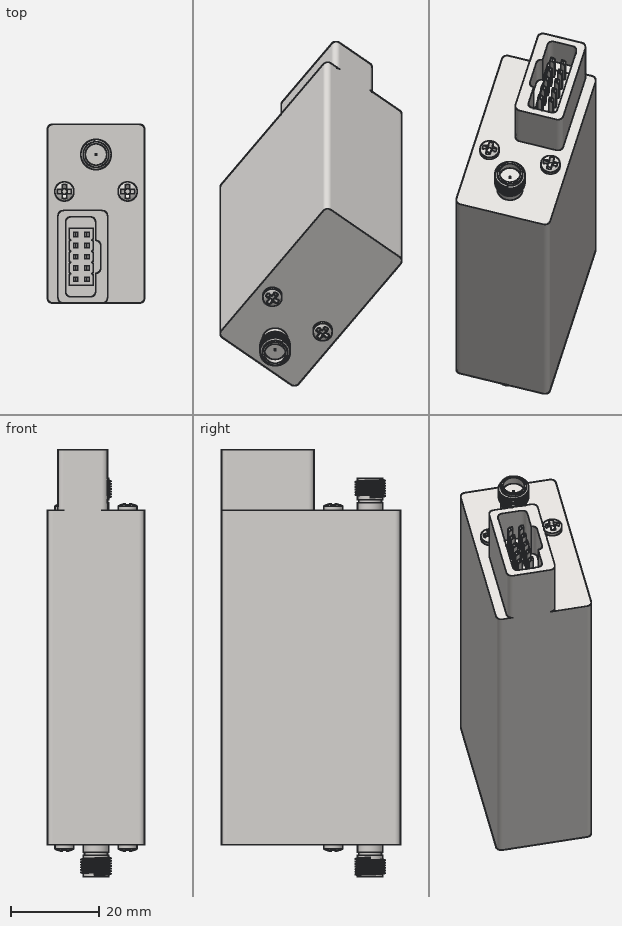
import cadquery as cq
import math


overall_height = 96.95
housing_width = 22.1
housing_depth = 40.6
corner_radius = 1.3

shroud_width = 11.2
shroud_depth = 21.0
shroud_height = 13.8
shroud_center_x = -3.0
shroud_center_y = (shroud_depth - housing_depth) / 2

cavity_width = 6.8
cavity_length = 18.1
cavity_depth = 9.0
cavity_radius = 1.2
cavity_center_x = -3.5
keyway_length = 7.5
keyway_reach = 1.2

pin_rows = 5
pin_columns = 2
pin_row_span = 10.2
pin_pitch = pin_row_span / (pin_rows - 1)
pin_size = 1.0
pin_bevel = pin_size / 2
pin_tip_recess = 1.2
header_width = 5.4
header_length = 12.9
header_height = 1.0
header_side_gap = 0.82
header_center_x = cavity_center_x - cavity_width / 2 + header_side_gap + header_width / 2
notch_size = 0.3

connector_back_inset = 6.9
connector_y = housing_depth / 2 - connector_back_inset
connector_length = 7.3
base_length = 1.7
neck_diameter = 5.2
neck_end = 2.3
barrel_diameter = 5.8
thread_diameter = 6.9
thread_pitch = 0.6
thread_half_width = 0.26
thread_start = 2.8
thread_end = 7.0
thread_root_overlap = 0.1
bore_diameter = 4.8
bore_depth = 1.9
contact_diameter = 0.4
contact_depth = 1.0

screw_x = 7.2
screw_y = 5.0
screw_diameter = 4.4
screw_rim_height = 0.9
screw_height = 1.55
recess_mouth_diameter = 4.1
recess_width = 1.0
recess_depth = 1.2
recess_floor_diameter = 1.3

housing_height = overall_height - shroud_height - connector_length
shroud_top = housing_height + shroud_height
cavity_floor = shroud_top - cavity_depth


def rounded_block(width, length, height, radius):
    """Upright block on Z = 0 with rounded vertical edges."""
    block = cq.Workplane("XY").box(width, length, height, centered=(True, True, False))
    return block.edges("|Z").fillet(radius)


def make_cavity():
    """Plug cavity with a keyway along the middle of its +X wall."""
    cavity = rounded_block(cavity_width, cavity_length, cavity_depth, cavity_radius)
    keyway_width = 2 * keyway_reach
    keyway = (
        cq.Workplane("XY")
        .box(keyway_width, keyway_length, cavity_depth, centered=(True, True, False))
        .edges("|Z and >X")
        .fillet(keyway_reach)
        .translate((cavity_width / 2, 0, 0))
    )
    return cavity.union(keyway).translate((cavity_center_x, shroud_center_y, cavity_floor))


def make_header():
    """Header block with V notches between the pin rows, on Z = 0."""
    block = cq.Workplane("XY").box(header_width, header_length, header_height, centered=(True, True, False))
    for gap in range(pin_rows - 1):
        notch_y = (gap - (pin_rows - 2) / 2) * pin_pitch
        for side in (-1, 1):
            edge_x = side * header_width / 2
            notch = (
                cq.Workplane("XY")
                .moveTo(edge_x, notch_y - notch_size)
                .lineTo(edge_x - side * notch_size, notch_y)
                .lineTo(edge_x, notch_y + notch_size)
                .close()
                .extrude(header_height)
            )
            block = block.cut(notch)
    return block


def make_pin():
    """Square pin on Z = 0 with its -X tip edge bevelled."""
    pin_length = cavity_depth - pin_tip_recess
    pin = cq.Workplane("XY").box(pin_size, pin_size, pin_length, centered=(True, True, False))
    return pin.edges(">Z and <X").chamfer(pin_bevel)


def make_housing():
    """Housing with its shroud, header block and pins in one piece."""
    case = rounded_block(housing_width, housing_depth, housing_height, corner_radius)
    shroud = rounded_block(shroud_width, shroud_depth, shroud_height, corner_radius)
    housing = case.union(shroud.translate((shroud_center_x, shroud_center_y, housing_height)))
    housing = housing.cut(make_cavity())

    header_origin = cq.Vector(header_center_x, shroud_center_y, cavity_floor)
    housing = housing.union(make_header().translate(header_origin))
    pin = make_pin()
    for column in range(pin_columns):
        for row in range(pin_rows):
            pin_x = (column - (pin_columns - 1) / 2) * pin_pitch
            pin_y = (row - (pin_rows - 1) / 2) * pin_pitch
            housing = housing.union(pin.translate(header_origin + cq.Vector(pin_x, pin_y, 0)))
    return housing


def make_thread():
    """Helical ridge of triangular section whose root lies just inside the barrel."""
    root_radius = barrel_diameter / 2 - thread_root_overlap
    crest_radius = thread_diameter / 2
    first_z = thread_start + thread_half_width
    helix_height = thread_end - thread_start - 2 * thread_half_width
    helix = cq.Wire.makeHelix(thread_pitch, helix_height, root_radius, center=cq.Vector(0, 0, first_z))
    return (
        cq.Workplane("XZ")
        .moveTo(root_radius, first_z - thread_half_width)
        .lineTo(crest_radius, first_z)
        .lineTo(root_radius, first_z + thread_half_width)
        .close()
        .sweep(cq.Workplane(helix), isFrenet=True)
    )


def make_connector():
    """Coaxial connector standing on Z = 0."""
    body = (
        cq.Workplane("XY")
        .circle(barrel_diameter / 2)
        .extrude(base_length)
        .faces(">Z")
        .workplane()
        .circle(neck_diameter / 2)
        .extrude(neck_end - base_length)
        .faces(">Z")
        .workplane()
        .circle(barrel_diameter / 2)
        .extrude(connector_length - neck_end)
    )
    body = body.union(make_thread())
    body = body.faces(">Z").workplane().hole(bore_diameter, bore_depth)
    contact_hole = (
        cq.Workplane("XY", origin=(0, 0, connector_length - bore_depth - contact_depth))
        .circle(contact_diameter / 2)
        .extrude(contact_depth)
    )
    return body.cut(contact_hole)


def make_recess():
    """Cross-shaped cutter standing on Z = 0 whose arm ends slope in toward a small floor."""
    long_arm = (
        cq.Workplane("XY")
        .box(recess_mouth_diameter, recess_width, recess_depth, centered=(True, True, False))
    )
    cross = long_arm.union(long_arm.rotate((0, 0, 0), (0, 0, 1), 90))
    cone = (
        cq.Workplane("XY")
        .circle(recess_floor_diameter / 2)
        .workplane(offset=recess_depth)
        .circle(recess_mouth_diameter / 2)
        .loft()
    )
    return cross.intersect(cone)


def make_screw():
    """Pan-head screw with a cross recess, standing on Z = 0."""
    head_radius = screw_diameter / 2
    crown_rise = screw_height - screw_rim_height
    crown_radius = (head_radius**2 + crown_rise**2) / (2 * crown_rise)
    half_angle = math.asin(head_radius / crown_radius) / 2
    crown_mid_x = crown_radius * math.sin(half_angle)
    crown_mid_z = screw_height - crown_radius * (1 - math.cos(half_angle))
    head = (
        cq.Workplane("XZ")
        .lineTo(head_radius, 0)
        .lineTo(head_radius, screw_rim_height)
        .threePointArc((crown_mid_x, crown_mid_z), (0, screw_height))
        .close()
        .revolve()
    )
    return head.cut(make_recess().translate((0, 0, screw_height - recess_depth)))


def on_both_ends(item, x, y):
    """Copies of an item at (x, y), one on the top face and one upside down on the underside."""
    upper = item.translate((x, y, housing_height))
    lower = item.rotate((0, 0, 0), (1, 0, 0), 180).translate((x, y, 0))
    return [upper.val(), lower.val()]


housing = make_housing()
connectors = on_both_ends(make_connector(), 0, connector_y)
screw = make_screw()
screws = []
for side in (-1, 1):
    screws += on_both_ends(screw, side * screw_x, screw_y)

result = cq.Compound.makeCompound([housing.val(), *connectors, *screws])